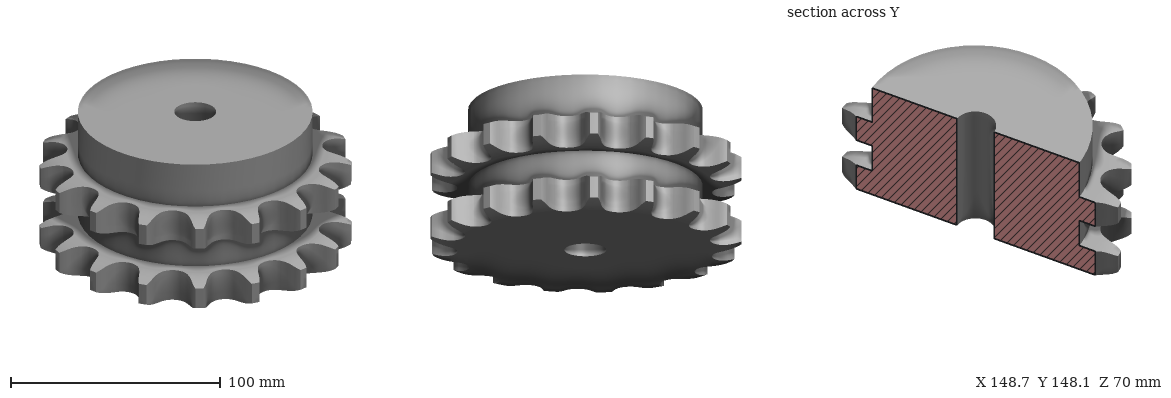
import cadquery as cq
import math


chain_pitch = 25.4
roller_diameter = 15.88
strand_spacing = 31.88

tooth_count = 17
tooth_width = 15.8
tip_radius = 74.5
side_rounding_radius = chain_pitch
side_rounding_depth = 2.65

hub_diameter = 112.0
bore_diameter = 20.0
total_height = 70.0

tooth_angle = 360.0 / tooth_count
pitch_radius = chain_pitch / (2 * math.sin(math.radians(tooth_angle / 2)))

seat_clearance = 0.076
working_clearance = 0.038
seat_radius = 0.5 * (1.005 * roller_diameter + seat_clearance)
working_radius = 1.3025 * roller_diameter + working_clearance
working_center_offset = 0.8 * roller_diameter
topping_center_offset = 1.4 * roller_diameter
seat_end_angle = 35 + 60 / tooth_count
working_sweep = 18 - 56 / tooth_count
flank_angle = seat_end_angle - working_sweep
cutter_clearance = 5.0


def polar(center, radius, angle):
    """Point at a distance and an angle in degrees from a centre."""
    turn = math.radians(angle)
    return (center[0] + radius * math.cos(turn), center[1] + radius * math.sin(turn))


def mirrored(point):
    """Point on the other flank of the gap, which is symmetric about the Y axis."""
    return (-point[0], point[1])


def make_gap():
    """Cutter for the tooth gap that is centred on the +Y axis."""
    roller_center = (0.0, pitch_radius)
    seat_bottom = (0.0, pitch_radius - seat_radius)
    seat_end = polar(roller_center, seat_radius, -seat_end_angle)

    working_center = polar(roller_center, working_center_offset, 180 - seat_end_angle)
    working_middle = polar(working_center, working_radius, -seat_end_angle + working_sweep / 2)
    working_end = polar(working_center, working_radius, -flank_angle)

    topping_center = polar(roller_center, topping_center_offset, -tooth_angle / 2)
    normal_x, normal_y = polar((0.0, 0.0), 1.0, -flank_angle)
    topping_radius = (topping_center[0] - working_end[0]) * normal_x
    topping_radius += (topping_center[1] - working_end[1]) * normal_y
    flank_end = polar(topping_center, topping_radius, 180 - flank_angle)

    center_distance = math.hypot(*topping_center)
    center_direction = math.degrees(math.atan2(topping_center[1], topping_center[0]))
    crossing_cosine = (center_distance**2 + tip_radius**2 - topping_radius**2) / (
        2 * center_distance * tip_radius
    )
    tip_direction = center_direction + math.degrees(math.acos(crossing_cosine))
    tip_corner = polar((0.0, 0.0), tip_radius, tip_direction)
    corner_angle = math.degrees(
        math.atan2(tip_corner[1] - topping_center[1], tip_corner[0] - topping_center[0])
    )
    topping_middle = polar(topping_center, topping_radius, (180 - flank_angle + corner_angle) / 2)
    outer_corner = (tip_corner[0], tip_radius + cutter_clearance)

    return (
        cq.Workplane("XY")
        .moveTo(*outer_corner)
        .lineTo(*tip_corner)
        .threePointArc(topping_middle, flank_end)
        .lineTo(*working_end)
        .threePointArc(working_middle, seat_end)
        .threePointArc(seat_bottom, mirrored(seat_end))
        .threePointArc(mirrored(working_middle), mirrored(working_end))
        .lineTo(*mirrored(flank_end))
        .threePointArc(mirrored(topping_middle), mirrored(tip_corner))
        .lineTo(*mirrored(outer_corner))
        .close()
        .extrude(tooth_width)
    )


def make_blank():
    """Disc whose two side faces curve inward towards the tooth tips."""
    rounding_drop = side_rounding_radius - side_rounding_depth
    rounding_length = math.sqrt(side_rounding_radius**2 - rounding_drop**2)
    flat_radius = tip_radius - rounding_length

    middle_angle = math.acos(rounding_drop / side_rounding_radius) / 2
    middle_radius = flat_radius + side_rounding_radius * math.sin(middle_angle)
    middle_depth = side_rounding_radius * (1 - math.cos(middle_angle))

    return (
        cq.Workplane("XZ")
        .lineTo(flat_radius, 0)
        .threePointArc((middle_radius, middle_depth), (tip_radius, side_rounding_depth))
        .lineTo(tip_radius, tooth_width - side_rounding_depth)
        .threePointArc((middle_radius, tooth_width - middle_depth), (flat_radius, tooth_width))
        .lineTo(0, tooth_width)
        .close()
        .revolve(360, (0, 0, 0), (0, 1, 0))
    )


def make_toothed_plate():
    """One row of teeth standing on the XY plane."""
    plate = make_blank()
    gap = make_gap()
    for index in range(tooth_count):
        plate = plate.cut(gap.rotate((0, 0, 0), (0, 0, 1), index * tooth_angle))
    return plate


def make_hub():
    """Plain cylinder that carries both plates."""
    return cq.Workplane("XY").circle(hub_diameter / 2).extrude(total_height)


def make_bore():
    """Cutter for the through bore."""
    return cq.Workplane("XY").circle(bore_diameter / 2).extrude(total_height)


toothed_plate = make_toothed_plate()
result = (
    make_hub()
    .union(toothed_plate)
    .union(toothed_plate.translate((0, 0, strand_spacing)))
    .cut(make_bore())
)